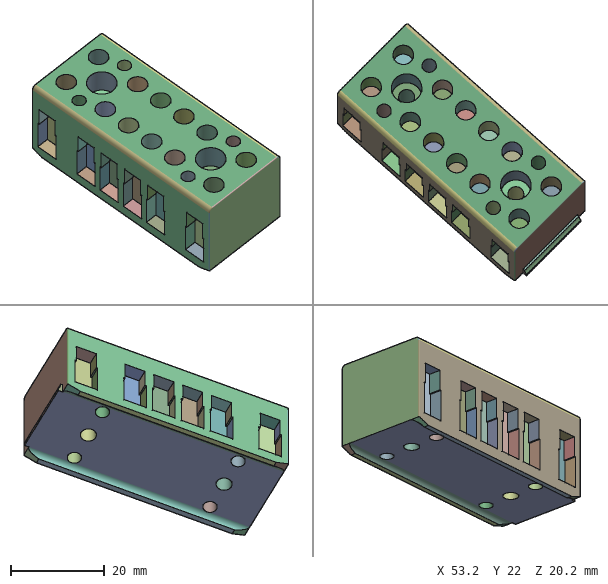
import cadquery as cq

overall_length = 53.15
lip_reach = 1.0
body_length = overall_length - lip_reach
body_width = 22.0
body_height = 20.15
half_length = body_length / 2
half_width = body_width / 2
top_edge_radius = 1.0
end_edge_radius = 0.2

foot_height = 1.0
foot_width = 1.2
foot_flare = 1.3
foot_slope_length = 3.0

lip_width = 16.9
lip_bottom = foot_height
lip_nose_top = 1.9
lip_top = 3.4
lip_ledge = 0.5
lip_hollow_radius = 1.8

terminal_pitch = 6.8
outer_terminal_x = 21.7
inner_terminal_count = 4
first_inner_x = -(inner_terminal_count - 1) * terminal_pitch / 2
terminal_xs = [-outer_terminal_x, outer_terminal_x]
terminal_xs += [first_inner_x + index * terminal_pitch for index in range(inner_terminal_count)]

pocket_depth = 2.9
pocket_bottom = 2.55
pocket_step = 9.8
pocket_top = 14.4
pocket_lower_width = 5.3
pocket_upper_width = 4.7

terminal_hole_diameter = 4.35
terminal_hole_y = 5.0
blind_hole_depth = body_height - pocket_top
mount_x = 16.0
mount_hole_diameter = 3.4
mount_counterbore_diameter = 6.5
pin_hole_diameter = 3.05
pin_hole_y = 7.0


def make_body():
    """Block with sloped foot ends, rounded long top edges and softened end edges."""
    body = (
        cq.Workplane("XZ")
        .moveTo(-half_length, body_height)
        .lineTo(-half_length, foot_height)
        .lineTo(-half_length + foot_slope_length, 0)
        .lineTo(half_length - foot_slope_length, 0)
        .lineTo(half_length, foot_height)
        .lineTo(half_length, body_height)
        .close()
        .extrude(half_width, both=True)
    )
    body = body.faces(">Z").edges("|X").fillet(top_edge_radius)
    for end_face in ("<X", ">X"):
        end_edges = body.faces(end_face).edges("not(<Z)")
        body = end_edges.fillet(end_edge_radius)
    return body


def make_channel():
    """Underside channel whose corner arcs run smoothly into its flat ceiling."""
    wall_y = half_width - foot_width
    ceiling_y = wall_y - foot_flare
    corner_radius = (foot_flare**2 + foot_height**2) / (2 * foot_height)
    return (
        cq.Workplane("YZ")
        .moveTo(-wall_y, 0)
        .radiusArc((-ceiling_y, foot_height), corner_radius)
        .lineTo(ceiling_y, foot_height)
        .radiusArc((wall_y, 0), corner_radius)
        .close()
        .extrude(half_length, both=True)
    )


def make_lip():
    """Snap lip whose hollow upper face curves from the nose up to a narrow ledge."""
    nose_x = -half_length - lip_reach
    ledge_x = -half_length - lip_ledge
    return (
        cq.Workplane("XZ")
        .moveTo(-half_length, lip_bottom)
        .lineTo(nose_x, lip_bottom)
        .lineTo(nose_x, lip_nose_top)
        .radiusArc((ledge_x, lip_top), -lip_hollow_radius)
        .lineTo(-half_length, lip_top)
        .close()
        .extrude(lip_width / 2, both=True)
    )


def make_pocket(x, side):
    """Stepped wire pocket at x; side is -1 for the -Y face and +1 for the +Y face."""
    middle_y = side * (half_width - pocket_depth / 2)

    def section(width, top):
        height = top - pocket_bottom
        middle = (x, middle_y, pocket_bottom + height / 2)
        return cq.Workplane("XY").box(width, pocket_depth, height).translate(middle)

    lower = section(pocket_lower_width, pocket_step)
    upper = section(pocket_upper_width, pocket_top)
    return lower.union(upper)


def drill_top(body, points, diameter, depth):
    """Drill straight down from the top face at each (x, y) point."""
    drills = (
        cq.Workplane("XY", origin=(0, 0, body_height))
        .pushPoints(points)
        .circle(diameter / 2)
        .extrude(-depth)
    )
    return body.cut(drills)


result = make_body().cut(make_channel()).union(make_lip())

for terminal_x in terminal_xs:
    for side in (-1, 1):
        result = result.cut(make_pocket(terminal_x, side))

terminal_points = [(x, side * terminal_hole_y) for x in terminal_xs for side in (-1, 1)]
result = drill_top(result, terminal_points, terminal_hole_diameter, blind_hole_depth)

mount_points = [(-mount_x, 0), (mount_x, 0)]
result = drill_top(result, mount_points, mount_hole_diameter, body_height)
result = drill_top(result, mount_points, mount_counterbore_diameter, blind_hole_depth)

pin_points = [(x, side * pin_hole_y) for x in (-mount_x, mount_x) for side in (-1, 1)]
result = drill_top(result, pin_points, pin_hole_diameter, body_height)